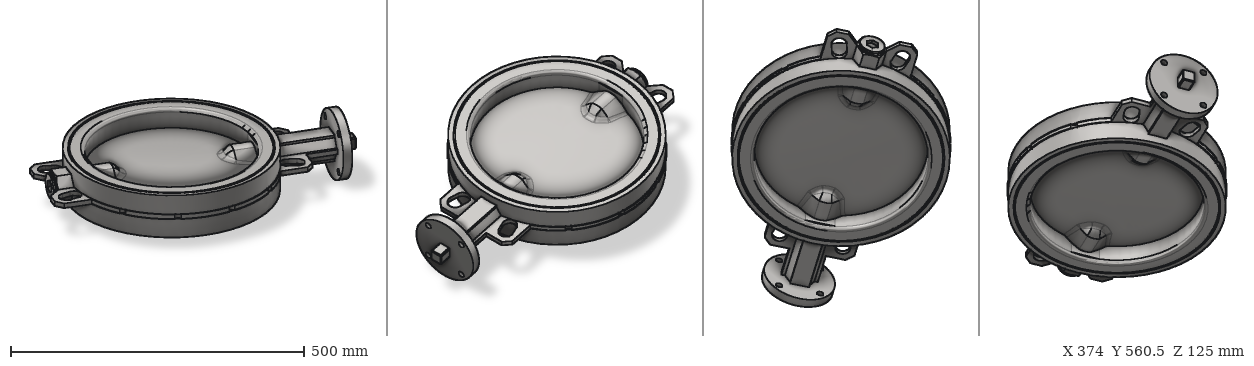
import cadquery as cq
import math


body_radius = 185.5
body_height = 80.0
bore_radius = 148.0
bore_rim_fillet = 7.0
stem_flat_distance = 146.0

groove_outer_radius = 176.5
groove_inner_radius = 174.0
groove_depth = 3.0

web_thickness = 9.0
band_radius = 187.0
notch_radius = 5.5
notch_angles = (15, 45, 135, 165)
lug_half_width = 79.0
lug_top = 231.5
lug_bottom = -232.0
lug_chamfer = 13.0
lug_inner_flat = 45.0
neck_web_half_width = 32.0

slot_circle_radius = 207.0
slot_angle = 15
slot_width = 26.5
slot_length = 42.0

hex_flats = 49.5
neck_block_width = 33.5
flange_diameter = 125.0
flange_near = 288.0
flange_far = 304.5
flange_hole_circle_radius = 51.0
flange_hole_diameter = 11.0
flange_hole_count = 4
flange_hole_start_angle = 45
shaft_width = 22.5
shaft_end = 328.5
shaft_edge_chamfer = 2.0
shaft_end_chamfer = 1.5

hub_bottom = -213.0
hub_end_radius = 24.0
hub_chamfer_length = 2.0
plug_bottom = -219.0
plug_radius = 22.0
plug_groove_radius = 19.5
plug_head_thickness = 4.0
socket_flats = 19.5
socket_depth = 11.0
socket_turn = 30

disc_center_height = 11.0
disc_rim_height = 3.0
boss_ridge_height = 24.5
boss_shoulder_height = 22.5
boss_shoulder_half_width = 11.0
boss_wall_y = 149.0
boss_wall_foot = 43.5
boss_nose_start_y = 108.0
boss_nose_start_foot = 35.0
boss_nose_mid_y = 99.0
boss_nose_mid_foot = 27.5
boss_nose_mid_shoulder = 9.0
boss_nose_mid_shoulder_height = 17.5
boss_nose_mid_ridge_height = 19.0
boss_nose_tip_y = 91.0
boss_nose_tip_foot = 15.5
boss_nose_tip_shoulder = 7.0
boss_nose_tip_shoulder_height = 5.5
boss_nose_tip_ridge_height = 7.0
boss_fillet = 12.5


def across_corners(flats):
    return flats / math.cos(math.radians(30))


def along_y(y_start):
    """Sketch plane facing +Y, with local x along X and local y along -Z."""
    return cq.Workplane(cq.Plane(origin=(0, y_start, 0), xDir=(1, 0, 0), normal=(0, 1, 0)))


def hex_bar(flats, y_start, y_end, turn=0):
    """Hexagonal bar along Y; without a turn, two of its flats face up and down."""
    bar = along_y(y_start).polygon(6, across_corners(flats)).extrude(y_end - y_start)
    return bar.rotate((0, 0, 0), (0, 1, 0), turn)


def round_bar(radius, y_start, y_end):
    return along_y(y_start).circle(radius).extrude(y_end - y_start)


def with_mirror_below(shape):
    return shape.union(shape.mirror("XY"))


def make_web():
    """Thin mid-plane layer carrying the band, the slotted lugs and the neck stiffener."""
    layer = cq.Workplane("XY").workplane(offset=-web_thickness / 2)

    band = layer.circle(band_radius).extrude(web_thickness)

    lug_chamfer_x = lug_half_width - lug_chamfer
    right_side = [
        (0, lug_top),
        (lug_chamfer_x, lug_top),
        (lug_half_width, lug_top - lug_chamfer),
        (lug_half_width, lug_bottom + lug_chamfer),
        (lug_chamfer_x, lug_bottom),
        (lug_inner_flat, lug_bottom),
        (lug_inner_flat + lug_bottom - hub_bottom, hub_bottom),
        (0, hub_bottom),
    ]
    lugs = layer.polyline(right_side).close().extrude(web_thickness)
    lugs = lugs.union(lugs.mirror("YZ"))
    neck = layer.center(0, flange_near / 2).rect(2 * neck_web_half_width, flange_near)
    neck = neck.extrude(web_thickness)

    web = band.union(lugs).union(neck)
    slot = cq.Workplane("XY").center(0, slot_circle_radius).slot2D(slot_length, slot_width, 90)
    slot = slot.extrude(web_thickness, both=True)
    for angle in (slot_angle, -slot_angle, 180 + slot_angle, 180 - slot_angle):
        web = web.cut(slot.rotate((0, 0, 0), (0, 0, 1), angle))
    return web


def make_notches():
    """Round notches around the band, on both sides of the lug line."""
    points = []
    for angle in notch_angles:
        x = band_radius * math.cos(math.radians(angle))
        y = band_radius * math.sin(math.radians(angle))
        points += [(x, y), (x, -y)]
    notches = cq.Workplane("XY").pushPoints(points).circle(notch_radius)
    return notches.extrude(web_thickness / 2, both=True)


def make_hub():
    """Hexagonal stem housing with a nut-style chamfer at its lower end."""
    corner_radius = across_corners(hex_flats) / 2
    envelope = round_bar(corner_radius, hub_bottom, flange_near)
    envelope = envelope.faces("<Y").chamfer(hub_chamfer_length, corner_radius - hub_end_radius)
    return hex_bar(hex_flats, hub_bottom, flange_near).intersect(envelope)


def make_neck_block():
    """Rectangular core that gives the upper neck its upright sides."""
    return along_y(0).rect(neck_block_width, hex_flats).extrude(flange_near)


def make_flange():
    flange = round_bar(flange_diameter / 2, flange_near, flange_far)
    holes = along_y(flange_near).polarArray(
        flange_hole_circle_radius, flange_hole_start_angle, 360, flange_hole_count)
    return flange.cut(holes.circle(flange_hole_diameter / 2).extrude(flange_far - flange_near))


def make_shaft():
    """Square shaft end with broken corners."""
    shaft = along_y(flange_far).rect(shaft_width, shaft_width).extrude(shaft_end - flange_far)
    shaft = shaft.edges("|Y").chamfer(shaft_edge_chamfer)
    return shaft.faces(">Y").chamfer(shaft_end_chamfer)


def make_plug():
    """Screw plug with a grooved neck and a hexagonal socket."""
    head_top = plug_bottom + plug_head_thickness
    plug = round_bar(plug_radius, plug_bottom, head_top)
    plug = plug.union(round_bar(plug_groove_radius, head_top, hub_bottom))
    return plug.cut(hex_bar(socket_flats, plug_bottom, plug_bottom + socket_depth, socket_turn))


def make_bore():
    """Void through the body, flattened where the stem passes."""
    bore = cq.Workplane("XY").circle(bore_radius).extrude(body_height, both=True)
    keep = cq.Workplane("XY").box(4 * body_radius, 2 * stem_flat_distance, 4 * body_height)
    return bore.intersect(keep)


def make_half_disc():
    """Upper half of the lens-shaped disc, domed and closing the bore."""
    dome_rise = disc_center_height - disc_rim_height
    dome_radius = (bore_radius**2 + dome_rise**2) / (2 * dome_rise)
    mid_x = bore_radius / 2
    mid_z = disc_center_height - dome_radius + math.sqrt(dome_radius**2 - mid_x**2)
    profile = (
        cq.Workplane("XZ")
        .lineTo(0, disc_center_height)
        .threePointArc((mid_x, mid_z), (bore_radius, disc_rim_height))
        .lineTo(bore_radius, 0)
        .close()
    )
    return profile.revolve(360, (0, 0, 0), (0, 1, 0))


def boss_section(y, foot, shoulder_half_width, shoulder_height, ridge_height):
    """Arched wire across the upper half of the boss, standing on the disc mid-plane."""
    left_foot = cq.Vector(-foot, y, 0)
    left_shoulder = cq.Vector(-shoulder_half_width, y, shoulder_height)
    ridge = cq.Vector(0, y, ridge_height)
    right_shoulder = cq.Vector(shoulder_half_width, y, shoulder_height)
    right_foot = cq.Vector(foot, y, 0)
    return cq.Wire.assembleEdges([
        cq.Edge.makeLine(left_foot, left_shoulder),
        cq.Edge.makeThreePointArc(left_shoulder, ridge, right_shoulder),
        cq.Edge.makeLine(right_shoulder, right_foot),
        cq.Edge.makeLine(right_foot, left_foot),
    ])


def make_boss():
    """Upper half of one stem boss, with a nose that slopes down onto the disc."""
    full = (boss_shoulder_half_width, boss_shoulder_height, boss_ridge_height)
    wall = boss_section(boss_wall_y, boss_wall_foot, *full)
    nose_start = boss_section(boss_nose_start_y, boss_nose_start_foot, *full)
    nose_middle = boss_section(
        boss_nose_mid_y,
        boss_nose_mid_foot,
        boss_nose_mid_shoulder,
        boss_nose_mid_shoulder_height,
        boss_nose_mid_ridge_height,
    )
    nose_tip = boss_section(
        boss_nose_tip_y,
        boss_nose_tip_foot,
        boss_nose_tip_shoulder,
        boss_nose_tip_shoulder_height,
        boss_nose_tip_ridge_height,
    )
    saddle = cq.Workplane(cq.Solid.makeLoft([wall, nose_start], ruled=True))
    nose = cq.Workplane(cq.Solid.makeLoft([nose_start, nose_middle, nose_tip]))
    return saddle.union(nose)


def make_face_groove():
    ring = cq.Workplane("XY").workplane(offset=body_height / 2 - groove_depth)
    return ring.circle(groove_outer_radius).circle(groove_inner_radius).extrude(groove_depth)


def make_rim_rounding():
    """Material removed between the bore edge and its rounded rim on the upper face."""
    top = body_height / 2
    center_r = bore_radius + bore_rim_fillet
    center_z = top - bore_rim_fillet
    diagonal = bore_rim_fillet * math.sqrt(0.5)
    profile = (
        cq.Workplane("XZ")
        .moveTo(0, top)
        .lineTo(center_r, top)
        .threePointArc((center_r - diagonal, center_z + diagonal), (bore_radius, center_z))
        .lineTo(0, center_z)
        .close()
    )
    return profile.revolve(360, (0, 0, 0), (0, 1, 0))


def make_disc():
    """Disc with two stem bosses on each face, blended into the dome along their feet."""
    boss = make_boss()
    half = make_half_disc().union(boss).union(boss.mirror("XZ"))
    foot_low = (-boss_wall_foot, -bore_radius, disc_rim_height)
    foot_high = (boss_wall_foot, bore_radius, disc_center_height)
    foot_edges = cq.selectors.BoxSelector(foot_low, foot_high)
    return with_mirror_below(half.edges(foot_edges).fillet(boss_fillet))


body = cq.Workplane("XY").circle(body_radius).extrude(body_height / 2, both=True)
for part in (make_web(), make_hub(), make_neck_block(), make_flange(), make_shaft(), make_plug()):
    body = body.union(part)
body = body.cut(make_notches()).cut(make_bore())
body = body.cut(with_mirror_below(make_rim_rounding()))
body = body.cut(with_mirror_below(make_face_groove()))

result = body.union(make_disc())